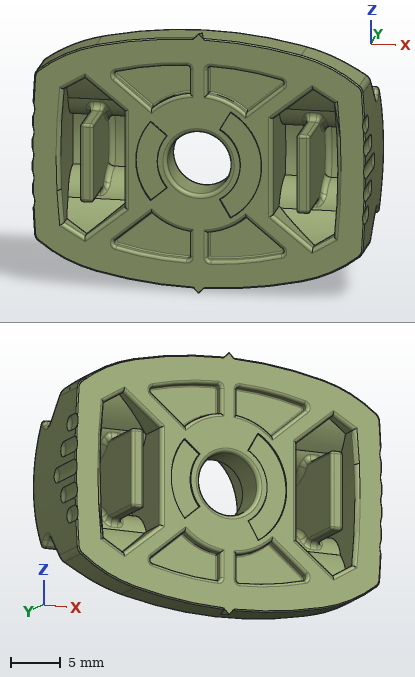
import cadquery as cq
import math

half_length = 17.0
half_height = 13.02
corner_x = 16.7
corner_z = 8.65
crest_end_x = 10.45
crest_end_z = 11.8
shoulder_mid_x = 13.6
shoulder_mid_z = 10.68
corner_radius = 1.02
front_edge_bevel = 0.15
back_edge_radius = 0.4
end_bow_radius = (corner_z ** 2 + (half_length - corner_x) ** 2) / (2 * (half_length - corner_x))

flange_depth = 3.57
flange_radius = 5.5
flange_center = (flange_depth + flange_radius, 11.55)
notch_radius = 0.75
notch_center = (6.95, 6.5)
lip_radius = 0.45
lip_center_z = 6.12
crown_depth = 10.15
crown_radius = 13.7
crown_center_y = crown_depth - crown_radius

bore_radius = 3.23
bore_rim_radius = 0.4
counterbore_radius = 5.68
counterbore_floor = 3.67

wall = 3.05
pocket_inner_x = 7.15
pocket_inner_z = 5.2
pocket_peak_x = 11.55
pocket_peak_z = 8.75
pocket_outer_x = 14.15
pocket_outer_z = 7.2
pocket_bow_x = 14.52
pocket_rim_radius = 0.4

bar_x = 11.0
bar_width = 1.33
bar_height = 8.15
bar_reach = 2.05
bar_overlap = 0.35
bar_edge_radius = 0.3
bar_root_radius = 0.58

recess_depth = 1.02
recess_side_x = 0.55
recess_crest_z = 10.45
recess_crest_mid_x = 5.1
recess_crest_mid_z = 10.1
recess_inner_radius = 6.9
recess_mid_angle = 67.0
recess_end_angle = 46.0
recess_tip_x = 9.72
recess_tip_z = 9.05
recess_corner_radius = 0.35
recess_floor_radius = 0.15
recess_rim_radius = 0.35

label_depth = 0.2
label_inner_radius = 4.2
label_outer_radius = 6.4
label_half_angles = {0: 59.5, 180: 40.0}

groove_pitch = 2.397
groove_half_width = 0.8
groove_depth = 0.2
groove_lengths = {0: 4.18, 1: 2.7, 2: 1.35}

mark_tip_z = 13.5
mark_run = 2.05
mark_drop = 0.55


def polar(center, radius, angle):
    return (center[0] + radius * math.cos(angle), center[1] + radius * math.sin(angle))


def direction(start, end):
    return math.atan2(end[1] - start[1], end[0] - start[0])


def front_sketch(depth=0.0):
    """XZ sketch plane at Y = depth; a negative extrusion runs towards +Y, into the part."""
    return cq.Workplane("XZ", origin=(0, depth, 0))


def cylinder_along_x(center, radius):
    return cq.Workplane("YZ").center(*center).circle(radius).extrude(half_length, both=True)


def make_outline():
    sketch = front_sketch().moveTo(-corner_x, -corner_z)
    sketch = sketch.threePointArc((-half_length, 0), (-corner_x, corner_z))
    sketch = sketch.threePointArc((-shoulder_mid_x, shoulder_mid_z), (-crest_end_x, crest_end_z))
    sketch = sketch.threePointArc((0, half_height), (crest_end_x, crest_end_z))
    sketch = sketch.threePointArc((shoulder_mid_x, shoulder_mid_z), (corner_x, corner_z))
    sketch = sketch.threePointArc((half_length, 0), (corner_x, -corner_z))
    sketch = sketch.threePointArc((shoulder_mid_x, -shoulder_mid_z), (crest_end_x, -crest_end_z))
    sketch = sketch.threePointArc((0, -half_height), (-crest_end_x, -crest_end_z))
    sketch = sketch.threePointArc((-shoulder_mid_x, -shoulder_mid_z), (-corner_x, -corner_z)).close()
    block = sketch.extrude(-crown_depth)
    corners = cq.selectors.BoxSelector(
        (-half_length, -0.35, -corner_z - 0.35), (half_length, crown_depth, corner_z + 0.35)
    )
    return block.edges("|Y").edges(corners).fillet(corner_radius)


def make_back_profile():
    spread = math.acos((flange_radius - notch_radius) / math.dist(flange_center, notch_center))
    flank_normal = direction(flange_center, notch_center) - spread
    sweep_start = (flange_depth, flange_center[1])
    sweep_end = polar(flange_center, flange_radius, flank_normal)
    sweep_mid = polar(flange_center, flange_radius, (flank_normal - math.pi) / 2)
    notch_start = polar(notch_center, notch_radius, flank_normal)

    lip_center_y = crown_center_y + math.sqrt((crown_radius - lip_radius) ** 2 - lip_center_z ** 2)
    lip_center = (lip_center_y, lip_center_z)
    span = math.dist(notch_center, lip_center)
    cross = direction(notch_center, lip_center) - math.acos((notch_radius + lip_radius) / span)
    notch_end = polar(notch_center, notch_radius, cross)
    lip_start = polar(lip_center, lip_radius, cross + math.pi)
    crown_angle = direction((crown_center_y, 0), lip_center)
    lip_end = polar(lip_center, lip_radius, crown_angle)
    notch_mid = polar(notch_center, notch_radius, -math.pi / 2)
    lip_mid = polar(lip_center, lip_radius, math.pi / 2)

    def low(point):
        return (point[0], -point[1])

    top_z = half_height + 0.35
    sketch = cq.Workplane("YZ").moveTo(0, -top_z).lineTo(0, top_z).lineTo(flange_depth, top_z)
    sketch = sketch.lineTo(*sweep_start).threePointArc(sweep_mid, sweep_end).lineTo(*notch_start)
    sketch = sketch.threePointArc(notch_mid, notch_end).lineTo(*lip_start).threePointArc(lip_mid, lip_end)
    sketch = sketch.threePointArc((crown_depth, 0), low(lip_end)).threePointArc(low(lip_mid), low(lip_start))
    sketch = sketch.lineTo(*low(notch_end)).threePointArc(low(notch_mid), low(notch_start))
    sketch = sketch.lineTo(*low(sweep_end)).threePointArc(low(sweep_mid), low(sweep_start))
    sketch = sketch.lineTo(flange_depth, -top_z).close()
    return sketch.extrude(half_length + 0.35, both=True)


def make_body():
    blank = make_outline().intersect(make_back_profile())
    blank = blank.edges("(not %LINE) and (not <Y)").fillet(back_edge_radius)
    return blank.edges("<Y").chamfer(front_edge_bevel)


def make_bore():
    bore = front_sketch().circle(bore_radius).extrude(-crown_depth)
    return bore.union(front_sketch(counterbore_floor).circle(counterbore_radius).extrude(-crown_depth))


def make_hollow():
    """Inside space that keeps one wall thickness to the crown, notches and sweeps."""
    hollow = cylinder_along_x((crown_center_y, 0), crown_radius - wall)
    for side in (1, -1):
        hollow = hollow.cut(cylinder_along_x((notch_center[0], side * notch_center[1]), notch_radius + wall))
        hollow = hollow.cut(cylinder_along_x((flange_center[0], side * flange_center[1]), flange_radius + wall))
    return hollow


def make_end_pocket():
    """The pocket on the +X end."""
    sketch = front_sketch().moveTo(pocket_outer_x, -pocket_outer_z)
    sketch = sketch.threePointArc((pocket_bow_x, 0), (pocket_outer_x, pocket_outer_z))
    sketch = sketch.lineTo(pocket_peak_x, pocket_peak_z).lineTo(pocket_inner_x, pocket_inner_z)
    sketch = sketch.lineTo(pocket_inner_x, -pocket_inner_z).lineTo(pocket_peak_x, -pocket_peak_z).close()
    return sketch.offset2D(-pocket_rim_radius, "intersection").extrude(-crown_depth).intersect(make_hollow())


def make_bar():
    """The bar on the +X end, reaching from the pocket floor out past the front face."""
    floor_depth = crown_depth - wall
    bar = front_sketch(-bar_reach).center(bar_x, 0).rect(bar_width, bar_height)
    bar = bar.extrude(-(bar_reach + floor_depth + bar_overlap))
    return bar.edges("|Y or <Y").fillet(bar_edge_radius)


def make_recess():
    """The quadrant recess on the +X, +Z side."""
    side_inner_z = math.sqrt(recess_inner_radius ** 2 - recess_side_x ** 2)
    mid = polar((0, 0), recess_inner_radius, math.radians(recess_mid_angle))
    end = polar((0, 0), recess_inner_radius, math.radians(recess_end_angle))
    sketch = front_sketch().moveTo(recess_side_x, side_inner_z).threePointArc(mid, end)
    sketch = sketch.lineTo(recess_tip_x, recess_tip_z)
    sketch = sketch.threePointArc((recess_crest_mid_x, recess_crest_mid_z), (recess_side_x, recess_crest_z))
    recess = sketch.close().offset2D(-recess_rim_radius, "intersection").extrude(-recess_depth)
    upper = cq.selectors.BoxSelector(
        (0, -0.35, recess_inner_radius + 0.45), (half_length, crown_depth, half_height)
    )
    recess = recess.edges("|Y").edges(upper).fillet(recess_corner_radius)
    return recess.faces(">Y").edges().fillet(recess_floor_radius)


def make_label_recess(facing):
    spread = label_half_angles[facing]
    start = math.radians(facing - spread)
    middle = math.radians(facing)
    end = math.radians(facing + spread)
    sketch = front_sketch().moveTo(*polar((0, 0), label_inner_radius, start))
    sketch = sketch.lineTo(*polar((0, 0), label_outer_radius, start))
    sketch = sketch.threePointArc(polar((0, 0), label_outer_radius, middle), polar((0, 0), label_outer_radius, end))
    sketch = sketch.lineTo(*polar((0, 0), label_inner_radius, end))
    sketch = sketch.threePointArc(polar((0, 0), label_inner_radius, middle), polar((0, 0), label_inner_radius, start))
    return sketch.close().extrude(-label_depth)


def make_groove(step):
    """A round-ended shallow groove across the +X end, a number of pitches from the middle."""
    radius = (groove_half_width ** 2 + groove_depth ** 2) / (2 * groove_depth)
    z = step * groove_pitch
    axis_x = half_length - z ** 2 / (2 * end_bow_radius) - groove_depth + radius
    length = groove_lengths[abs(step)]
    groove = front_sketch(-0.35).center(axis_x, z).circle(radius).extrude(-length - 0.35)
    return groove.union(cq.Workplane().sphere(radius).translate((axis_x, length, z)))


def make_mark():
    """Pointed mark on the top edge whose ridge falls into the plate edge."""
    root_z = half_height - mark_drop
    half_base = mark_tip_z - root_z
    corners = [
        cq.Vector(-half_base, 0, root_z),
        cq.Vector(0, 0, mark_tip_z),
        cq.Vector(half_base, 0, root_z),
    ]
    triangle = cq.Wire.makePolygon(corners, close=True)
    slope = cq.Vector(0, mark_run, half_height - mark_tip_z)
    return cq.Workplane(cq.Solid.extrudeLinear(triangle, [], slope))


def round_openings(part, smallest, largest, radius):
    """Round the rims of the front openings whose longer side lies between two sizes."""
    rims = []
    for wire in part.faces("<Y").val().innerWires():
        box = wire.BoundingBox()
        if smallest < max(box.xlen, box.zlen) < largest:
            rims += wire.Edges()
    return part.newObject(rims).fillet(radius)


def round_bar_roots(part):
    """Round the edges where the bars meet the pocket floors."""
    margin = 0.005
    roots = []
    for edge in part.edges().vals():
        box = edge.BoundingBox()
        beside_bar = abs(abs(edge.Center().x) - bar_x) <= bar_width / 2 + margin
        within_height = max(abs(box.zmin), abs(box.zmax)) <= bar_height / 2 + margin
        on_floor = box.ymin > bar_reach and box.ymax < crown_depth - wall + 0.35
        if beside_bar and within_height and on_floor and box.xlen < bar_width + margin:
            roots.append(edge)
    return part.newObject(roots).fillet(bar_root_radius)


result = make_body()

pocket = make_end_pocket()
result = result.cut(pocket).cut(pocket.mirror("YZ"))
recess = make_recess()
for quadrant in (recess, recess.mirror("YZ")):
    result = result.cut(quadrant).cut(quadrant.mirror("XY"))
result = result.cut(make_bore())

result = round_openings(result, 2 * bore_radius - 0.35, 2 * bore_radius + 0.35, bore_rim_radius)
result = round_openings(result, 2 * bore_radius + 0.35, 11.9, recess_rim_radius)
result = round_openings(result, 11.9, 2 * half_height, pocket_rim_radius)

bar = make_bar()
result = result.union(bar).union(bar.mirror("YZ"))
result = round_bar_roots(result)

for facing in label_half_angles:
    result = result.cut(make_label_recess(facing))
for step in range(-2, 3):
    groove = make_groove(step)
    result = result.cut(groove).cut(groove.mirror("YZ"))
mark = make_mark()
result = result.union(mark).union(mark.mirror("XY"))